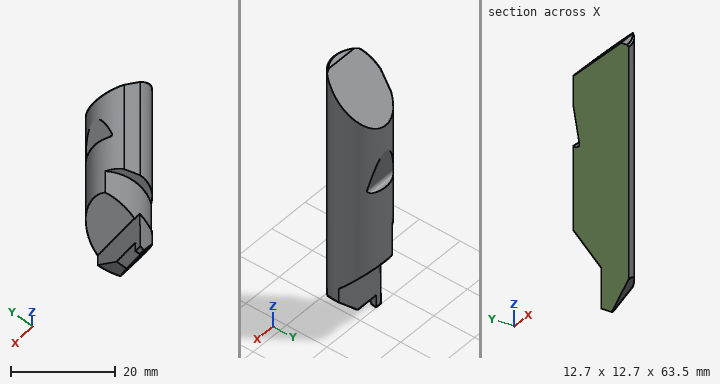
import cadquery as cq
import math

RADIUS = 6.35
LENGTH = 63.5
MARGIN = 2.0
REACH = RADIUS + MARGIN

TOP_BEVEL_START_Y = -4.55
TOP_CHAMFER = 0.38

FLAT_ANGLE = 15.6

CLAMP_BOTTOM_Z = 37.07
CLAMP_TOP_Z = 46.1
CLAMP_DEPTH = 1.55
CLAMP_CORNER_RADIUS = 0.9

NECK_BOTTOM_Z = 11.85
NECK_TOP_Z = 25.4
NECK_FLOOR_X = -4.58
NECK_EDGE_X = -2.74

RAKE_TOP_Z = 12.1
FRONT_SLOPE_ANGLE = 24.2
TIP_THICKNESS = 1.1
NOSE_BOTTOM_Z = 3.05
NOSE_BEVEL_START_X = 0.7
TIP_INNER_X = -4.85
TIP_CORNER_RADIUS = 0.25
TIP_RELIEF_ANGLE = 8.0

BACK_TAPER_ANGLE = 0.8
FLANK_END_Y = -4.35
FLANK_BULGE = 0.13


def tan_deg(angle):
    return math.tan(math.radians(angle))


def circle_offset(distance):
    """Half chord of the bar's circle at a distance from its axis."""
    return math.sqrt(RADIUS**2 - distance**2)


def prism_along_x(points):
    """Extrude a (Y, Z) polygon through the full bar width in X."""
    return cq.Workplane("YZ").polyline(points).close().extrude(REACH, both=True)


def prism_along_y(points):
    """Extrude an (X, Z) polygon through the full bar width in Y."""
    return cq.Workplane("XZ").polyline(points).close().extrude(REACH, both=True)


def bar():
    section = [
        (0, 0),
        (RADIUS, 0),
        (RADIUS, LENGTH - TOP_CHAMFER),
        (RADIUS - TOP_CHAMFER, LENGTH),
        (0, LENGTH),
    ]
    return cq.Workplane("XZ").polyline(section).close().revolve(360, (0, 0), (0, 1))


def top_bevel_cutter():
    run = REACH - TOP_BEVEL_START_Y
    return prism_along_x([
        (TOP_BEVEL_START_Y - MARGIN, LENGTH + MARGIN),
        (REACH, LENGTH + MARGIN),
        (REACH, LENGTH - run),
    ])


def orientation_flat_cutter():
    end_y = REACH
    end_x = -RADIUS + end_y * tan_deg(FLAT_ANGLE)
    return (
        cq.Workplane("XY")
        .polyline([(-RADIUS, 0), (end_x, end_y), (-REACH, end_y), (-REACH, 0)])
        .close()
        .extrude(LENGTH)
    )


def clamp_notch_cutter():
    slope = CLAMP_DEPTH / (CLAMP_TOP_Z - CLAMP_BOTTOM_Z)
    floor_y = RADIUS - CLAMP_DEPTH
    cutter = prism_along_x([
        (REACH, CLAMP_BOTTOM_Z),
        (floor_y, CLAMP_BOTTOM_Z),
        (REACH, CLAMP_TOP_Z + MARGIN / slope),
    ])
    return cutter.edges("|X").edges("<Y").fillet(CLAMP_CORNER_RADIUS)


def neck_cutter():
    edge_y = circle_offset(NECK_EDGE_X)
    return (
        cq.Workplane("XY", origin=(0, 0, NECK_BOTTOM_Z))
        .moveTo(NECK_EDGE_X, edge_y)
        .threePointArc((NECK_FLOOR_X, 0), (NECK_EDGE_X, -edge_y))
        .lineTo(NECK_EDGE_X, -REACH)
        .lineTo(-REACH, -REACH)
        .lineTo(-REACH, REACH)
        .lineTo(NECK_EDGE_X, REACH)
        .close()
        .extrude(NECK_TOP_Z - NECK_BOTTOM_Z)
    )


def rake_cutter():
    """Everything behind the cutting face, running out at 45 degrees."""
    return prism_along_x([
        (0, -MARGIN),
        (0, RAKE_TOP_Z),
        (REACH, RAKE_TOP_Z + REACH),
        (REACH, -MARGIN),
    ])


def front_slope_cutter():
    slope_top_z = (REACH - TIP_THICKNESS) / tan_deg(FRONT_SLOPE_ANGLE)
    slope_bottom_y = -TIP_THICKNESS + MARGIN * tan_deg(FRONT_SLOPE_ANGLE)
    return prism_along_x([
        (slope_bottom_y, -MARGIN),
        (-REACH, -MARGIN),
        (-REACH, slope_top_z),
    ])


def nose_cutter():
    """Clears the space beside the tooth and bevels the +X corner."""
    bevel_rise = REACH - NOSE_BEVEL_START_X
    cutter = prism_along_y([
        (TIP_INNER_X, -MARGIN),
        (TIP_INNER_X, NOSE_BOTTOM_Z),
        (NOSE_BEVEL_START_X, NOSE_BOTTOM_Z),
        (REACH, NOSE_BOTTOM_Z + bevel_rise),
        (REACH, -MARGIN),
    ])
    inner_corner = cq.selectors.NearestToPointSelector((TIP_INNER_X, 0, NOSE_BOTTOM_Z))
    return cutter.edges(inner_corner).fillet(TIP_CORNER_RADIUS)


def tip_relief_cutter():
    """Tilts the end of the tooth upward away from the cutting edge."""
    relief_y = -TIP_THICKNESS - MARGIN
    return prism_along_x([
        (0, 0),
        (relief_y, -relief_y * tan_deg(TIP_RELIEF_ANGLE)),
        (relief_y, -MARGIN),
        (0, -MARGIN),
    ])


def flank_cutter():
    """Ruled cutter outside the tooth flank, from the tip up to the neck."""
    end_x = -circle_offset(FLANK_END_Y)

    def add_section(plane, edge_x):
        middle = ((edge_x + end_x) / 2 - FLANK_BULGE, FLANK_END_Y / 2)
        return (
            plane.moveTo(edge_x, 0)
            .threePointArc(middle, (end_x, FLANK_END_Y))
            .lineTo(-REACH, FLANK_END_Y)
            .lineTo(-REACH, 0)
            .close()
        )

    bottom = add_section(cq.Workplane("XY"), -RADIUS)
    top_edge_x = -RADIUS + NECK_BOTTOM_Z * tan_deg(BACK_TAPER_ANGLE)
    top = add_section(bottom.workplane(offset=NECK_BOTTOM_Z), top_edge_x)
    return top.loft(ruled=True)


result = (
    bar()
    .cut(top_bevel_cutter())
    .cut(orientation_flat_cutter())
    .cut(clamp_notch_cutter())
    .cut(neck_cutter())
    .cut(rake_cutter())
    .cut(front_slope_cutter())
    .cut(nose_cutter())
    .cut(tip_relief_cutter())
    .cut(flank_cutter())
)